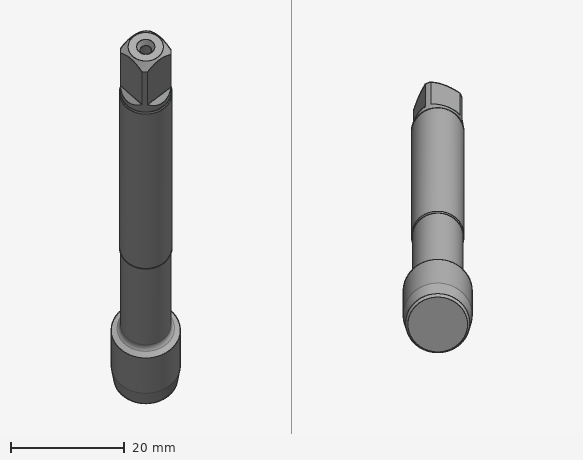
import cadquery as cq
import math

total_length = 100.0
thread_length = 14.9
lead_length = 4.3
front_chamfer_height = 0.6
cove_top = 16.63
neck_end = 39.42
shank_end = 86.58
square_length = 11.22

thread_diameter = 12.19
lead_front_diameter = 11.3
front_face_diameter = 10.5
neck_diameter = 8.95
shank_diameter = 9.32
shank_edge_diameter = 9.02
collar_diameter = 8.95

shoulder_slope = math.radians(28)
shoulder_diameter = 10.1
shank_edge_height = 0.4
square_width = 7.0
top_face_diameter = 6.2
centre_hole_diameter = 2.0
centre_hole_depth = 4.0
countersink_diameter = 3.2
countersink_angle = math.radians(60)
drill_point_angle = math.radians(120)


def make_thread_section():
    """Front body: the thread envelope with its tapered lead and front chamfer."""
    outline = [
        (0, 0),
        (front_face_diameter / 2, 0),
        (lead_front_diameter / 2, front_chamfer_height),
        (thread_diameter / 2, lead_length),
        (thread_diameter / 2, thread_length),
        (0, thread_length),
    ]
    return cq.Workplane("XZ").polyline(outline).close().revolve(360, (0, 0), (0, 1))


def make_turned_shank():
    """Shoulder cone, cove, neck, shank and collar turned as one profile."""
    neck_radius = neck_diameter / 2
    shank_radius = shank_diameter / 2
    edge_radius = shank_edge_diameter / 2
    collar_radius = collar_diameter / 2

    shoulder_radius = shoulder_diameter / 2
    shoulder_top = thread_length + (thread_diameter / 2 - shoulder_radius) * math.tan(shoulder_slope)
    cove_width = shoulder_radius - neck_radius
    cove_height = cove_top - shoulder_top
    cove_sweep = 2 * math.atan(cove_width / cove_height)
    cove_radius = cove_height / math.sin(cove_sweep)
    cove_middle = (
        neck_radius + cove_radius * (1 - math.cos(cove_sweep / 2)),
        cove_top - cove_radius * math.sin(cove_sweep / 2),
    )
    rear_chamfer = (collar_diameter - top_face_diameter) / 2

    return (
        cq.Workplane("XZ")
        .moveTo(0, thread_length)
        .lineTo(thread_diameter / 2, thread_length)
        .lineTo(shoulder_radius, shoulder_top)
        .threePointArc(cove_middle, (neck_radius, cove_top))
        .lineTo(neck_radius, neck_end)
        .lineTo(edge_radius, neck_end)
        .lineTo(shank_radius, neck_end + shank_edge_height)
        .lineTo(shank_radius, shank_end - shank_edge_height)
        .lineTo(edge_radius, shank_end)
        .lineTo(collar_radius, shank_end)
        .lineTo(collar_radius, total_length - rear_chamfer)
        .lineTo(top_face_diameter / 2, total_length)
        .lineTo(0, total_length)
        .close()
        .revolve(360, (0, 0), (0, 1))
    )


def cut_drive_square(body):
    """Four flats at the rear end, each running out to the collar at 45 degrees."""
    square_bottom = total_length - square_length
    flat = square_width / 2
    outside = collar_diameter
    runout = outside - flat
    flat_cutter = (
        cq.Workplane("XZ")
        .polyline([
            (flat, total_length),
            (flat, square_bottom),
            (outside, square_bottom - runout),
            (outside, total_length),
        ])
        .close()
        .extrude(collar_diameter, both=True)
    )
    for quarter in range(4):
        body = body.cut(flat_cutter.rotate((0, 0, 0), (0, 0, 1), 90 * quarter))
    return body


def cut_centre_hole(body):
    """Centre-drilled hole in the rear end face: countersink, pilot and drill point."""
    hole_radius = centre_hole_diameter / 2
    countersink_radius = countersink_diameter / 2
    countersink_depth = (countersink_radius - hole_radius) / math.tan(countersink_angle / 2)
    point_height = hole_radius / math.tan(drill_point_angle / 2)
    hole_bottom = total_length - centre_hole_depth
    drill = (
        cq.Workplane("XZ")
        .polyline([
            (0, total_length),
            (countersink_radius, total_length),
            (hole_radius, total_length - countersink_depth),
            (hole_radius, hole_bottom),
            (0, hole_bottom - point_height),
        ])
        .close()
        .revolve(360, (0, 0), (0, 1))
    )
    return body.cut(drill)


thread_section = make_thread_section()
shank = cut_centre_hole(cut_drive_square(make_turned_shank()))

result = cq.Compound.makeCompound([thread_section.val(), shank.val()])